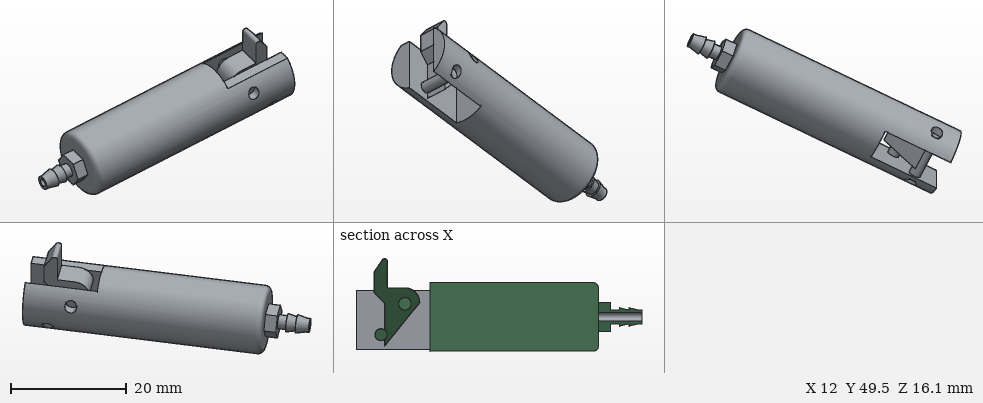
import cadquery as cq
import math


overall_length = 49.5

housing_radius = 6.0
housing_length = 42.0
end_fillet = 1.0
slot_depth = 12.7
slot_left = -3.5
slot_right = 2.0
flat_edge_x = 3.8
flat_height = math.sqrt(housing_radius**2 - flat_edge_x**2)

pin_radius = 1.05
pin_length = 8.7
pivot_y = housing_length - 8.4
pivot_z = 2.3
stop_y = housing_length - 4.25
stop_z = -3.05
pin_places = [(pivot_y, pivot_z), (stop_y, stop_z)]

hex_sides = 6
hex_flats = 5.05
hex_length = 2.1
fitting_length = overall_length - housing_length
stem_radius = 1.25
barb_radius = 1.65
barb_pitch = 1.7
barb_count = 2
barb_start = 3.55
bore_radius = 0.7

lever_right = slot_right
lever_left = -lever_right
lever_width = lever_right - lever_left
hook_back_y = housing_length - 3.05
hook_thickness = 2.35
hook_front_y = hook_back_y - hook_thickness
hook_top_z = 10.1
hook_slope = math.radians(56)
tip_radius = 0.5
heel_z = 4.2
arm_top_z = 5.05
nose_radius = 2.55
leg_back_y = housing_length - 4.9
leg_tip_z = -5.05


def cylinder_along_x(radius, left, length, y, z):
    """Solid cylinder parallel to X, starting at x = left."""
    return cq.Workplane("YZ", origin=(left, 0, 0)).center(y, z).circle(radius).extrude(length)


def cut_pin_holes(body):
    """Bore both pin holes right through the body along X."""
    for y, z in pin_places:
        body = body.cut(cylinder_along_x(pin_radius, -housing_radius, 2 * housing_radius, y, z))
    return body


def box_between(x_range, y_range, z_range):
    """Box given by its limits along each axis."""
    (x0, x1), (y0, y1), (z0, z1) = x_range, y_range, z_range
    return cq.Workplane("XY").box(x1 - x0, y1 - y0, z1 - z0, centered=False).translate((x0, y0, z0))


def make_housing():
    """Round bar with a rounded end, forked by a slot and flattened beside it."""
    body = cq.Workplane("XZ").circle(housing_radius).extrude(-housing_length)
    body = body.faces("<Y").edges().fillet(end_fillet)
    slot_y = (housing_length - slot_depth, housing_length)
    slot = box_between((slot_left, slot_right), slot_y, (-housing_radius, housing_radius))
    flat = box_between((slot_right, flat_edge_x), slot_y, (flat_height, housing_radius))
    return cut_pin_holes(body.cut(slot).cut(flat))


def make_fitting():
    """Hexagon head, stem and two hose barbs, bored through along Y."""
    hex_corners = hex_flats / math.cos(math.pi / hex_sides)
    head = cq.Workplane("XZ").polygon(hex_sides, hex_corners).extrude(hex_length)
    outline = [(0, -hex_length), (stem_radius, -hex_length), (stem_radius, -barb_start)]
    for barb in range(barb_count):
        barb_y = -barb_start - barb * barb_pitch
        outline += [(barb_radius, barb_y), (stem_radius, barb_y - barb_pitch)]
    outline += [(stem_radius, -fitting_length), (0, -fitting_length)]
    stem = cq.Workplane("XY").polyline(outline).close().revolve(360, (0, 0, 0), (0, 1, 0))
    bore = cq.Workplane("XZ").circle(bore_radius).extrude(fitting_length)
    return head.union(stem).cut(bore)


def make_lever():
    """Upright hook on an arm with a round nose, and a pointed leg that rests on the stop pin."""
    tip_y = hook_front_y + tip_radius
    tip_z = hook_top_z - tip_radius
    slope_top_y = tip_y + tip_radius * math.sin(hook_slope)
    slope_top_z = tip_z + tip_radius * math.cos(hook_slope)
    slope_bottom_z = slope_top_z - (hook_back_y - slope_top_y) * math.tan(hook_slope)
    nose_z = arm_top_z - nose_radius
    nose_front_y = pivot_y - nose_radius
    nose_mid = nose_radius * math.sqrt(0.5)
    leg_top_z = heel_z - (hook_back_y - leg_back_y)
    outline = (
        cq.Workplane("YZ", origin=(lever_left, 0, 0))
        .moveTo(hook_back_y, heel_z)
        .lineTo(hook_back_y, slope_bottom_z)
        .lineTo(slope_top_y, slope_top_z)
        .threePointArc((tip_y, hook_top_z), (hook_front_y, tip_z))
        .lineTo(hook_front_y, arm_top_z)
        .lineTo(pivot_y, arm_top_z)
        .threePointArc((pivot_y - nose_mid, nose_z + nose_mid), (nose_front_y, nose_z))
        .lineTo(leg_back_y, leg_tip_z)
        .lineTo(leg_back_y, leg_top_z)
        .close()
    )
    return cut_pin_holes(outline.extrude(lever_width))


def make_pin(y, z):
    """Plain pin centred on X = 0."""
    return cylinder_along_x(pin_radius, -pin_length / 2, pin_length, y, z)


housing = make_housing()
fitting = make_fitting()
lever = make_lever()
pins = [make_pin(y, z) for y, z in pin_places]

result = cq.Compound.makeCompound([housing.val(), fitting.val(), lever.val(), *[pin.val() for pin in pins]])